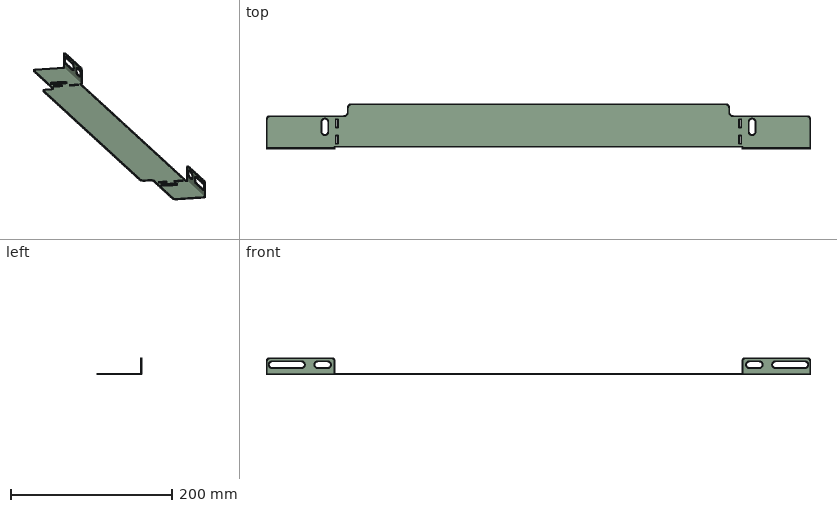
import cadquery as cq

length = 674
depth = 55.0
height = 20

thickness = 1.0
bend_inner_radius = 1.0
bend_outer_radius = bend_inner_radius + thickness

shoulder_length = 100.5
shoulder_drop = 15.0
step_radius = 5.0
end_corner_radius = 4.0

flange_length = 84.0
flange_corner_radius = 3.5

slot_width = 8.0
short_slot_length = 20
long_slot_length = 44.5
flange_slot_height = 12.0
long_slot_offset = 25.0
short_slot_offset = 69.5
plate_slot_offset = 72.0
plate_slot_edge_gap = 3.5

relief_offset = 87.0
relief_width = 3.0
relief_length = 10.0
relief_gap = 10.0
relief_edge_gap = 4.0

half_length = length / 2
front = -depth / 2
back = depth / 2
shoulder_back = back - shoulder_drop
plate_front = front + bend_outer_radius
step_x = half_length - shoulder_length
flange_center_x = half_length - flange_length / 2


def make_plate():
    """Flat plate with a wide middle and two narrower ends."""
    ends = cq.Workplane("XY").box(
        length, shoulder_back - plate_front, thickness, centered=(True, False, False)
    ).translate((0, plate_front, 0))
    middle = cq.Workplane("XY").box(
        2 * step_x, back - plate_front, thickness, centered=(True, False, False)
    ).translate((0, plate_front, 0))
    plate = ends.union(middle)
    for x, y, radius in (
        (step_x, back, step_radius),
        (step_x, shoulder_back, step_radius),
        (half_length, shoulder_back, end_corner_radius),
    ):
        for side in (-1, 1):
            corner = cq.selectors.NearestToPointSelector((side * x, y, thickness / 2))
            plate = plate.edges("|Z").edges(corner).fillet(radius)
    return plate


def make_flange(side):
    """Upright flange with its rounded bend, at the -X or +X end."""
    flange = (
        cq.Workplane("YZ")
        .moveTo(plate_front, 0)
        .radiusArc((front, bend_outer_radius), bend_outer_radius)
        .lineTo(front, height)
        .lineTo(front + thickness, height)
        .lineTo(front + thickness, bend_outer_radius)
        .radiusArc((plate_front, thickness), -bend_inner_radius)
        .close()
        .extrude(flange_length / 2, both=True)
    )
    flange = flange.edges("|Y and >Z").fillet(flange_corner_radius)
    return flange.translate((side * flange_center_x, 0, 0))


def flange_slot(side, offset, slot_length):
    """Cutter for a horizontal slot through a flange."""
    return (
        cq.Workplane("XZ")
        .center(side * (half_length - offset), flange_slot_height)
        .slot2D(slot_length, slot_width)
        .extrude(thickness * 2, both=True)
        .translate((0, front, 0))
    )


def plate_slot(side):
    """Cutter for the round-ended slot running in Y through the plate."""
    center_y = shoulder_back - plate_slot_edge_gap - short_slot_length / 2
    return (
        cq.Workplane("XY")
        .center(side * (half_length - plate_slot_offset), center_y)
        .slot2D(short_slot_length, slot_width, 90)
        .extrude(thickness)
    )


def reliefs(side):
    """Cutter for the pair of narrow rectangular reliefs in line along Y."""
    back_center_y = shoulder_back - relief_edge_gap - relief_length / 2
    pitch = relief_length + relief_gap
    return (
        cq.Workplane("XY")
        .center(side * (half_length - relief_offset), back_center_y)
        .pushPoints([(0, 0), (0, -pitch)])
        .rect(relief_width, relief_length)
        .extrude(thickness)
    )


result = make_plate()
for end in (-1, 1):
    result = result.union(make_flange(end))
    result = result.cut(flange_slot(end, long_slot_offset, long_slot_length))
    result = result.cut(flange_slot(end, short_slot_offset, short_slot_length))
    result = result.cut(plate_slot(end))
    result = result.cut(reliefs(end))